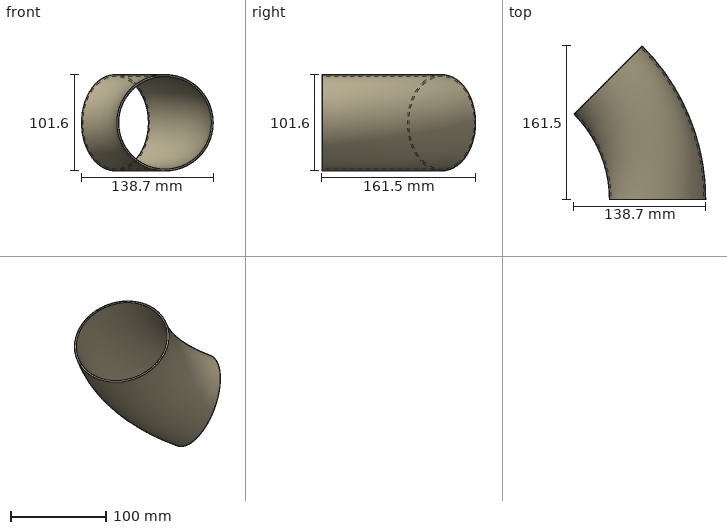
import cadquery as cq
import math

overall_length = 161.5
outer_diameter = 101.6
inner_diameter = 97.6
bend_angle = 45.0

outside_bend_radius = overall_length / math.sin(math.radians(bend_angle))
bend_radius = outside_bend_radius - outer_diameter / 2


def pipe_elbow():
    """Sweep the pipe's ring section about a vertical axis on its -X side."""
    ring = cq.Workplane("XZ").circle(outer_diameter / 2).circle(inner_diameter / 2)
    return ring.revolve(bend_angle, (-bend_radius, 0, 0), (-bend_radius, 1, 0))


result = pipe_elbow()